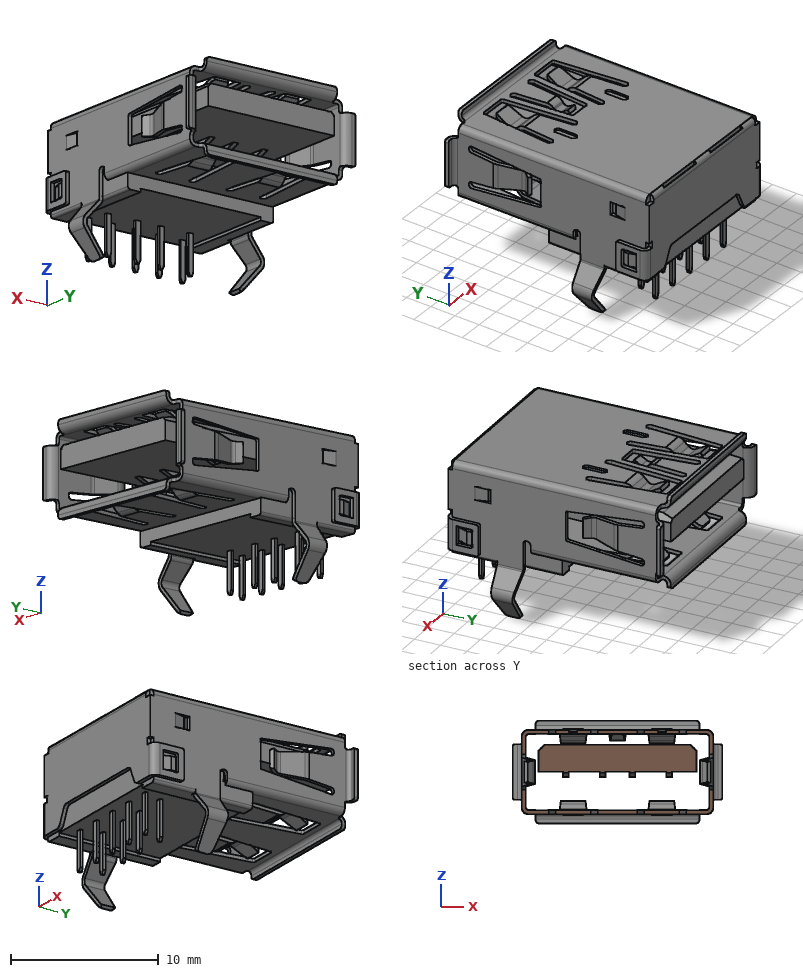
import cadquery as cq
import math


sheet = 0.3
length = 16.5
half_width = 6.5
height = 5.73
corner_radius = 0.48
mouth_y = 15.84
floor_rear_y = 6.29
wall_bottom_z = -0.92
mid_z = height / 2
inner_half_width = half_width - sheet
roof_underside_z = height - sheet

flange_reach = 0.63
side_flange_reach = 0.61
flange_bend = 0.3
roof_flange_width = 11.12
roof_flange_corner = 0.26
side_flange_width = 3.78
side_flange_corner = 0.16
flange_relief = 0.21

fork_length = 5.97
fork_half_root = 1.7
fork_half_web = 1.12
slot_width = 0.51
slot_corner = 0.13
arm_end_radius = 0.47 * slot_width
tongue_reach = 0.99
spring_x = 3.0
spring_tip_gap = 0.65
spring_tip_radius = 0.33
spring_fork_y = 9.49
side_fork_y = 14.95
side_tip_gap = 1.02
side_tip_radius = 0.2
centre_fork_y = 15.3
centre_fork_length = 5.0
centre_half_root = 1.34
centre_half_web = 0.85
centre_tip_gap = 0.55
centre_tip_radius = 0.26

dimple_y = 9.39
dimple_length = 1.82
dimple_width = 0.55
dimple_depth = 0.15

rear_bend_radius = 0.38
rear_bend_half_width = 5.99
rear_corner_z = 5.13
tab_bottom_z = -0.78
tab_top_z = 1.6
tab_front_y = 2.5
tab_outer_x = 6.9
tab_bend = 0.23
tab_corner = 0.16
plate_tab_half_width = tab_outer_x - tab_bend - sheet
relief_top_z = 2.08
relief_inner_x = 6.15

body_front_y = 6.17
foot_front_y = 8.53
foot_inner_x = 5.12
foot_bottom_z = -1.17
foot_radius = 0.21
board_half_width = 5.36
board_front_y = 16.4
board_bottom_z = 2.87
board_top_z = 4.72
board_chamfer = 0.43
board_lead_in_length = 0.82
board_lead_in_drop = 0.2

leg_front_y = 5.71
leg_rear_y = 3.73
leg_tip_half_width = 0.56
leg_tip_radius = 0.31

pin_width = 0.4
pin_thickness = 0.21
pin_tip_z = -3.98
pin_taper_width = 0.12
pin_taper_height = 0.28


def block(x0, x1, y0, y1, z0, z1):
    """Axis-aligned box between two corners."""
    return cq.Workplane("XY").box(x1 - x0, y1 - y0, z1 - z0, centered=False).translate((x0, y0, z0))


def with_mirror(solid):
    """The solid together with its mirror image across X = 0."""
    return solid.union(solid.mirror("YZ"))


def left_normal(start, end):
    """Unit vector pointing left of the line from start to end."""
    run = math.dist(start, end)
    return (start[1] - end[1]) / run, (end[0] - start[0]) / run


def bent_strip(plane, path, width, bends):
    """Sheet strip lying left of a 2D path, extruded symmetrically; bends = inside radii at its corners."""
    normals = [left_normal(a, b) for a, b in zip(path, path[1:])]
    inner = []
    for i, (u, v) in enumerate(path):
        n1 = normals[max(i - 1, 0)]
        n2 = normals[min(i, len(normals) - 1)]
        mitre = sheet / (1 + n1[0] * n2[0] + n1[1] * n2[1])
        inner.append((u + mitre * (n1[0] + n2[0]), v + mitre * (n1[1] + n2[1])))
    outline = cq.Workplane(plane).polyline(path + inner[::-1]).close()
    strip = outline.extrude(width / 2, both=True)
    for i, bend in enumerate(bends, start=1):
        n1, n2 = normals[i - 1], normals[i]
        turns_left = n1[0] * n2[1] - n1[1] * n2[0] > 0
        radii = (bend + sheet, bend) if turns_left else (bend, bend + sheet)
        for point, radius in zip((path[i], inner[i]), radii):
            corner = outline.plane.toWorldCoords((point[0], point[1], 0))
            strip = strip.edges(cq.selectors.NearestToPointSelector(corner.toTuple())).fillet(radius)
    return strip


def fork(plane, span, half_root, half_web, tip_gap, tip_radius):
    """Forked slot and the tapered tongue inside it; arms start at local y = 0, web at y = span."""
    def tapered(end_y, inset):
        half_end = half_root + (half_web - half_root) * end_y / span - inset
        half_start = half_root - inset
        outline = [(-half_start, 0), (half_start, 0), (half_end, end_y), (-half_end, end_y)]
        return cq.Workplane("XY").polyline(outline).close().extrude(tongue_reach, both=True)

    tongue = tapered(span - tip_gap, slot_width).edges("|Z and >Y").fillet(tip_radius)
    slot = tapered(span, 0).edges("|Z and >Y").fillet(slot_corner).cut(tongue)
    slot = slot.edges("|Z and <Y").fillet(arm_end_radius)
    location = cq.Location(plane)
    return [cq.Workplane(part.val().moved(location)) for part in (slot, tongue)]


shell = block(-half_width, half_width, sheet, mouth_y, 0, height).edges("|Y").fillet(corner_radius)
bore = block(-inner_half_width, inner_half_width, 0, length, sheet, roof_underside_z)
shell = shell.cut(bore.edges("|Y").fillet(corner_radius - sheet))

relief_width = floor_rear_y - leg_front_y
relief_round = 0.49 * relief_width
relief_top = 1.02
relief_depth = 2 * sheet
relief = block(half_width - relief_depth, half_width, leg_front_y, floor_rear_y, -sheet, relief_top)
relief = relief.edges("|X and >Z").fillet(relief_round)
shell = shell.cut(with_mirror(relief))
lower_wall = block(inner_half_width, half_width, sheet, leg_front_y, wall_bottom_z, relief_top)
shell = shell.union(with_mirror(lower_wall))


def mouth_flange(width, reach, corner):
    """Roof-type flange curling up from a sheet whose underside is at z = 0."""
    root_width = width + 2 * flange_relief
    path = [(mouth_y - 2 * sheet, 0), (length, 0), (length, sheet + reach)]
    strip = bent_strip("YZ", path, root_width, [flange_bend])
    height_room = 2 * (sheet + reach)
    footprint = block(-width, width, body_front_y, mouth_y, 0, height_room)
    footprint = footprint.union(block(-width / 2, width / 2, body_front_y, length, 0, height_room))
    for x in (-width / 2, width / 2):
        inside_corner = cq.selectors.NearestToPointSelector((x, mouth_y, height_room / 2))
        footprint = footprint.edges(inside_corner).fillet(flange_relief)
    return strip.intersect(footprint).edges("|Y and >Z").fillet(corner)


roof_flange = mouth_flange(roof_flange_width, flange_reach, roof_flange_corner)
roof_flange = roof_flange.translate((0, 0, roof_underside_z))
floor_flange = roof_flange.mirror("XY", (0, 0, mid_z))
side_flange = mouth_flange(side_flange_width, side_flange_reach, side_flange_corner)
side_flange = side_flange.rotate((0, 0, 0), (0, 1, 0), -90).translate((-inner_half_width, 0, mid_z))
shell = shell.union(roof_flange).union(floor_flange).union(with_mirror(side_flange))

spring_bend_y = 12.31
spring_path = [
    (spring_bend_y - 0.33, roof_underside_z),
    (spring_bend_y, roof_underside_z),
    (13.2, 4.64),
    (14.8, 5.53),
]
spring_strip = bent_strip("YZ", spring_path, 2 * fork_half_root, [0.5, 0.5])
spring_plane = cq.Plane(origin=(0, spring_fork_y, height), xDir=(1, 0, 0), normal=(0, 0, 1))
slot, tongue = fork(
    spring_plane, fork_length, fork_half_root, fork_half_web, spring_tip_gap, spring_tip_radius
)
beyond_bend = block(-half_width, half_width, spring_bend_y - 0.16, length, height - tongue_reach, height)
opening = slot.union(beyond_bend.intersect(tongue))
spring = spring_strip.intersect(tongue)
for x in (-spring_x, spring_x):
    side_opening = opening.translate((x, 0, 0))
    side_spring = spring.translate((x, 0, 0))
    shell = shell.cut(side_opening).cut(side_opening.mirror("XY", (0, 0, mid_z)))
    shell = shell.union(side_spring).union(side_spring.mirror("XY", (0, 0, mid_z)))
    dimple = cq.Workplane("XY", origin=(x, dimple_y, height - dimple_depth))
    shell = shell.cut(dimple.slot2D(dimple_length, dimple_width, 90).extrude(sheet))

centre_bend_y = 12.49
centre_strip = bent_strip(
    "YZ",
    [(10.89, 5.41), (11.9, 4.77), (centre_bend_y, roof_underside_z), (centre_bend_y + 0.33, roof_underside_z)],
    2 * centre_half_root,
    [0.41, 0.41],
)
centre_plane = cq.Plane(origin=(0, centre_fork_y, height), xDir=(-1, 0, 0), normal=(0, 0, 1))
slot, tongue = fork(
    centre_plane, centre_fork_length, centre_half_root, centre_half_web, centre_tip_gap, centre_tip_radius
)
beyond_bend = block(-half_width, half_width, 0, centre_bend_y + 0.16, height - tongue_reach, height)
shell = shell.cut(slot)
shell = shell.cut(beyond_bend.intersect(tongue))
shell = shell.union(centre_strip.intersect(tongue))

side_bend_y = 12.77
side_strip = bent_strip(
    "XY",
    [(6.3, 10.21), (5.82, 10.79), (half_width, side_bend_y), (half_width, side_bend_y + 0.33)],
    2 * fork_half_root,
    [0.36, 0.82],
).translate((0, 0, mid_z))
side_plane = cq.Plane(origin=(half_width, side_fork_y, mid_z), xDir=(0, 0, 1), normal=(1, 0, 0))
slot, tongue = fork(side_plane, fork_length, fork_half_root, fork_half_web, side_tip_gap, side_tip_radius)
beyond_bend = block(0, half_width, 0, side_bend_y + 0.16, 0, height)
shell = shell.cut(with_mirror(slot))
shell = shell.cut(with_mirror(beyond_bend.intersect(tongue)))
shell = shell.union(with_mirror(side_strip.intersect(tongue)))

plate = block(-half_width, half_width, 0, sheet, tab_bottom_z, rear_corner_z)
fold = block(-rear_bend_half_width, rear_bend_half_width, 0, 2 * sheet, mid_z, height)
fold = fold.edges("|X and <Y and >Z").fillet(rear_bend_radius)
fold = fold.cut(bore.translate((0, sheet, 0)))
plate = plate.union(fold)

cutout_top = 0.71
cutout_half_top = 4.0
cutout_half_bottom = 4.67
cutout_radius = 0.43
cutout = [
    (-cutout_half_bottom, tab_bottom_z),
    (-cutout_half_top, cutout_top),
    (cutout_half_top, cutout_top),
    (cutout_half_bottom, tab_bottom_z),
]
plate = plate.cut(cq.Workplane("XZ").polyline(cutout).close().extrude(-sheet))
for x, z in cutout:
    plate = plate.edges(cq.selectors.NearestToPointSelector((x, sheet / 2, z))).fillet(cutout_radius)

fold_slot_start_x = 0.85
fold_slot_length = 3.75
fold_slot_lip_z = height - 0.05
fold_slot_profile = [(0, height), (0, fold_slot_lip_z), (sheet, fold_slot_lip_z - sheet), (sheet, height)]
fold_slot = cq.Workplane("YZ").polyline(fold_slot_profile).close().extrude(fold_slot_length)
plate = plate.cut(with_mirror(fold_slot.translate((fold_slot_start_x, 0, 0))))

plate = plate.cut(with_mirror(block(relief_inner_x, half_width, 0, sheet, tab_top_z, relief_top_z)))
tab_edge_gap = block(plate_tab_half_width, half_width, 0, sheet, tab_bottom_z, tab_top_z)
plate = plate.cut(with_mirror(tab_edge_gap))
shell = shell.union(plate)

window_rear_y = 0.82
window_front_y = 2.05
window_bottom_z = -0.26
window_top_z = 1.15
tab_mid_z = (tab_bottom_z + tab_top_z) / 2
tab = bent_strip(
    "XY",
    [(rear_bend_half_width, 0), (tab_outer_x, 0), (tab_outer_x, tab_front_y)],
    tab_top_z - tab_bottom_z,
    [tab_bend],
).translate((0, 0, tab_mid_z))
tab = tab.edges("|X and >Y").fillet(tab_corner)
window = block(half_width, tab_outer_x, window_rear_y, window_front_y, window_bottom_z, window_top_z)
window = window.edges("|X and >Y").fillet(tab_corner)
shell = shell.union(with_mirror(tab.cut(window)))

bump_top_x = half_width + 0.26
bump_bottom_z = -0.13
bump_height = 1.02
bump_outline = [
    (inner_half_width, window_rear_y),
    (half_width, window_rear_y),
    (bump_top_x, 1.55),
    (bump_top_x, 1.93),
    (inner_half_width, 1.93),
]
bump = cq.Workplane("XY").polyline(bump_outline).close().extrude(bump_height)
shell = shell.union(with_mirror(bump.translate((0, 0, bump_bottom_z))))

leg_mid_y = (leg_front_y + leg_rear_y) / 2
leg_half_width = (leg_front_y - leg_rear_y) / 2
leg_bend_z = -1.27
leg_tip_z = -5.25
leg_path = [(5.99, leg_tip_z), (7.95, -2.92), (half_width, leg_bend_z), (half_width, 0)]
leg_strip = bent_strip("XZ", leg_path, 2 * leg_half_width, [0.4, 0.16])
leg_profile = [
    (leg_half_width, 0),
    (leg_half_width, leg_bend_z),
    (leg_tip_half_width, leg_tip_z),
    (-leg_tip_half_width, leg_tip_z),
    (-leg_half_width, leg_bend_z),
    (-leg_half_width, 0),
]
leg_taper = cq.Workplane("YZ").polyline(leg_profile).close().extrude(length)
leg_taper = leg_taper.edges("|X and <Z").fillet(leg_tip_radius)
leg = leg_strip.intersect(leg_taper).translate((0, leg_mid_y, 0))
shell = shell.union(with_mirror(leg))

body = block(-inner_half_width, inner_half_width, sheet, body_front_y, wall_bottom_z, roof_underside_z)
base = block(-inner_half_width, inner_half_width, sheet, foot_front_y, wall_bottom_z, sheet)
foot = block(foot_inner_x, inner_half_width, sheet, foot_front_y, foot_bottom_z, 0)
rear_foot = block(foot_inner_x, half_width, sheet, leg_rear_y, foot_bottom_z, wall_bottom_z + sheet)
foot, rear_foot = [pad.edges("|Y and >X and <Z").fillet(foot_radius) for pad in (foot, rear_foot)]
board = block(-board_half_width, board_half_width, sheet, board_front_y, board_bottom_z, board_top_z)
board = board.edges("|Y and >Z").chamfer(board_chamfer)
ramp_start_y = board_front_y - board_lead_in_length
ramp_outline = [
    (ramp_start_y, board_top_z),
    (board_front_y, board_top_z),
    (board_front_y, board_top_z - board_lead_in_drop),
]
board = board.cut(cq.Workplane("YZ").polyline(ramp_outline).close().extrude(half_width, both=True))
insulator = body.union(base).union(with_mirror(foot)).union(with_mirror(rear_foot)).union(board)

wide_row = [-4.0, -2.0, 0, 2.0, 4.0]
narrow_row = [-3.5, -1.0, 1.0, 3.5]
finger_profile = [(9.45, board_bottom_z), (10.31, 2.52), (11.17, board_bottom_z)]


def pin(x, y):
    """Flat pin with a tip narrowed on both edges."""
    half = pin_width / 2
    shank = block(-half, half, -pin_thickness / 2, pin_thickness / 2, pin_tip_z, 0)
    tip_edges = shank.faces("<Z").edges("|Y")
    return tip_edges.chamfer(pin_taper_height, pin_taper_width).translate((x, y, 0))


for row_y, row in ((1.25, wide_row), (2.77, narrow_row)):
    for x in row:
        insulator = insulator.union(pin(x, row_y))
for x in narrow_row:
    finger = cq.Workplane("YZ").polyline(finger_profile).close().extrude(pin_width / 2, both=True)
    insulator = insulator.union(finger.translate((x, 0, 0)))

pocket_bottom_z = 3.25
pocket_height = 1.0
pocket_outline = [
    (half_width, 2.05),
    (half_width, 3.23),
    (inner_half_width, 3.23),
    (inner_half_width, 2.95),
    (6.27, 2.95),
]
pocket = cq.Workplane("XY").polyline(pocket_outline).close().extrude(pocket_height)
pocket = pocket.translate((0, 0, pocket_bottom_z))

result = shell.union(insulator).cut(with_mirror(pocket))